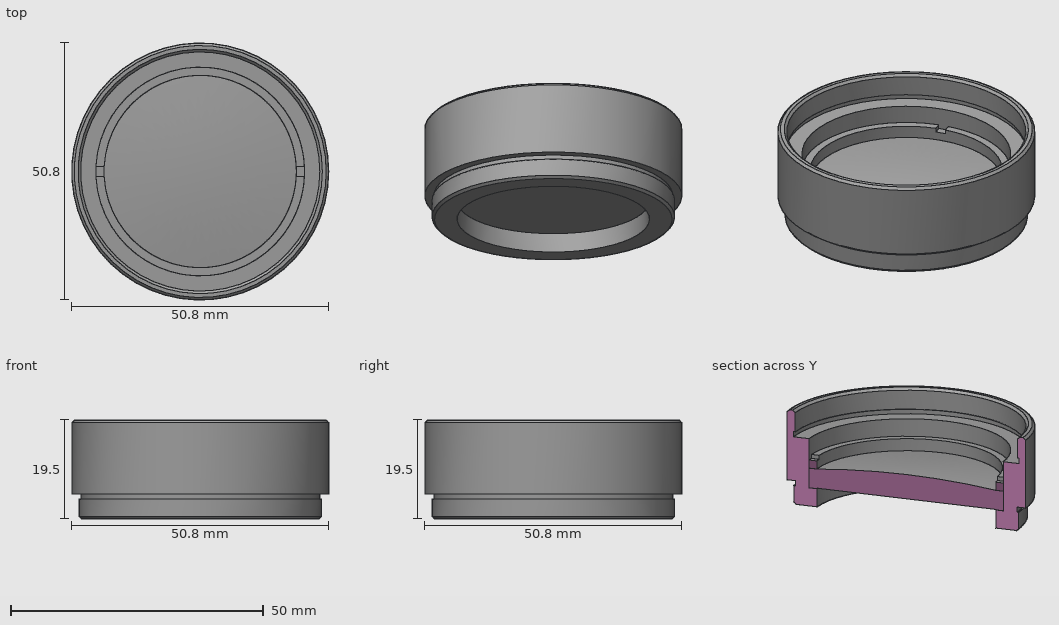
import cadquery as cq
import math

outer_radius = 25.4
total_height = 19.5
skirt_height = 14.65
spigot_radius = 24.0
groove_radius = 23.6
groove_height = 0.95
edge_chamfer = 0.5

socket_radius = 23.6
socket_depth = 5.5
relief_radius = spigot_radius
relief_height = 1.0
seat_radius = 20.6
aperture_radius = 19.0

ring_top_depth = 9.1
ring_height = 2.5
dome_rise = 1.05
lens_rim_thickness = 4.05
slot_width = 2.05
slot_depth = 0.8

spigot_top = total_height - skirt_height - groove_height
barrel_bottom = total_height - skirt_height
socket_floor = total_height - socket_depth
ring_top = total_height - ring_top_depth
lens_rim = ring_top - ring_height
lens_bottom = lens_rim - lens_rim_thickness


def disc(radius, bottom, top):
    """Upright cylinder on the Z axis between two levels."""
    return cq.Workplane("XY").workplane(offset=bottom).circle(radius).extrude(top - bottom)


def make_housing():
    spigot = disc(spigot_radius, 0, spigot_top).faces("<Z").edges().chamfer(edge_chamfer)
    neck = disc(groove_radius, spigot_top, barrel_bottom)
    barrel = disc(outer_radius, barrel_bottom, total_height).faces(">Z").edges().chamfer(edge_chamfer)
    body = spigot.union(neck).union(barrel)

    body = body.cut(disc(socket_radius, socket_floor, total_height))
    body = body.cut(disc(relief_radius, socket_floor, socket_floor + relief_height))
    body = body.cut(disc(seat_radius, lens_bottom, socket_floor))
    body = body.cut(disc(aperture_radius, 0, lens_bottom))

    lead_in = cq.Workplane(cq.Solid.makeCone(
        socket_radius,
        socket_radius + edge_chamfer,
        edge_chamfer,
        pnt=cq.Vector(0, 0, total_height - edge_chamfer),
    ))
    return body.cut(lead_in)


def make_lens():
    """Flat-bottomed lens: flat rim under the ring, spherical dome inside it."""
    dome_radius = (aperture_radius**2 + dome_rise**2) / (2 * dome_rise)
    half_angle = math.asin(aperture_radius / dome_radius) / 2
    arc_middle = (
        dome_radius * math.sin(half_angle),
        lens_rim + dome_rise - dome_radius * (1 - math.cos(half_angle)),
    )
    return (
        cq.Workplane("XZ")
        .moveTo(0, lens_bottom)
        .lineTo(seat_radius, lens_bottom)
        .lineTo(seat_radius, lens_rim)
        .lineTo(aperture_radius, lens_rim)
        .threePointArc(arc_middle, (0, lens_rim + dome_rise))
        .close()
        .revolve(360, (0, 0, 0), (0, 1, 0))
    )


def make_retaining_ring():
    ring = disc(seat_radius, lens_rim, ring_top).cut(disc(aperture_radius, lens_rim, ring_top))
    slot = (
        cq.Workplane("XY")
        .workplane(offset=ring_top - slot_depth)
        .rect(2 * outer_radius, slot_width)
        .extrude(slot_depth)
    )
    return ring.cut(slot)


housing = make_housing()
lens = make_lens()
retaining_ring = make_retaining_ring()

result = cq.Compound.makeCompound([housing.val(), lens.val(), retaining_ring.val()])